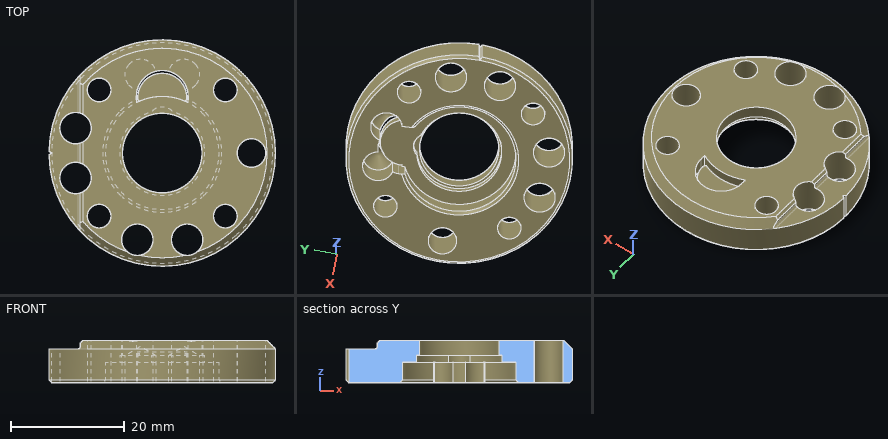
import cadquery as cq
import math

DISC_RADIUS = 20.0
HEIGHT = 7.5
TOP_CHAMFER = 1.5
BOTTOM_CHAMFER = 0.5

BORE_DIAMETER = 14.0
STEP_DIAMETER = 15.0
RECESS_DIAMETER = 20.0
BORE_LENGTH = 2.65
WEB_THICKNESS = 3.9
RECESS_CHAMFER = 0.5

PITCH_RADIUS = 15.75
SCREW_HOLE_DIAMETER = 4.13
SIDE_HOLE_DIAMETER = 5.0
PAIR_HOLE_DIAMETER = 5.5
PAIR_HALF_SPACING = 4.4
PAIR_OFFSET = 15.3

STEP_X = -14.5
STEP_FLOOR_Z = HEIGHT - TOP_CHAMFER
STEP_TOP_BEVEL = 0.5
STEP_FOOT_RADIUS = 0.35

NOTCH_WIDTH = 0.6
NOTCH_DEPTH = 0.5

WINDOW_RADIUS = 4.55
WINDOW_CENTER_Y = 10.0
TONGUE_RADIUS = 4.35
TONGUE_CENTER_Y = 9.75
TONGUE_INNER_Y = 9.1
TONGUE_CORNER_RADIUS = 0.65
TONGUE_TOP_Z = HEIGHT - 2.1

SHOULDER_DROP = 0.5
SHOULDER_END_Y = 9.45

RELIEF_DIAMETER = 5.0
RELIEF_CENTER_Y = 5.65

DRILLING_DIAMETER = 5.5
DRILLING_DISTANCE = 5.4
DRILLING_TIP_Z = HEIGHT - 1.05
DRILL_POINT_ANGLE = 118.0


def cylinder(diameter, bottom, top, x=0.0, y=0.0):
    """Upright cylinder between two heights."""
    return cq.Workplane("XY", origin=(x, y, bottom)).circle(diameter / 2).extrude(top - bottom)


def make_disc():
    disc = cylinder(2 * DISC_RADIUS, 0, HEIGHT)
    disc = disc.faces(">Z").chamfer(TOP_CHAMFER)
    return disc.faces("<Z").chamfer(BOTTOM_CHAMFER)


def make_bore():
    """Bore, step and bottom recess as one turned profile."""
    bore_radius = BORE_DIAMETER / 2
    step_radius = STEP_DIAMETER / 2
    recess_radius = RECESS_DIAMETER / 2
    web_z = HEIGHT - WEB_THICKNESS
    step_z = HEIGHT - BORE_LENGTH
    profile = [
        (0, 0),
        (recess_radius + RECESS_CHAMFER, 0),
        (recess_radius, RECESS_CHAMFER),
        (recess_radius, web_z),
        (step_radius, web_z),
        (step_radius, step_z),
        (bore_radius, step_z),
        (bore_radius, HEIGHT),
        (0, HEIGHT),
    ]
    return cq.Workplane("XZ").polyline(profile).close().revolve(360, (0, 0, 0), (0, 1, 0))


def make_holes():
    diagonal = PITCH_RADIUS * math.sqrt(0.5)
    places = [(SIDE_HOLE_DIAMETER, PITCH_RADIUS, 0)]
    for sx, sy in [(1, 1), (-1, 1), (-1, -1), (1, -1)]:
        places.append((SCREW_HOLE_DIAMETER, sx * diagonal, sy * diagonal))
    for side in (1, -1):
        places.append((PAIR_HOLE_DIAMETER, -PAIR_OFFSET, side * PAIR_HALF_SPACING))
        places.append((PAIR_HOLE_DIAMETER, side * PAIR_HALF_SPACING, -PAIR_OFFSET))
    holes = cq.Workplane("XY")
    for diameter, x, y in places:
        holes = holes.add(cylinder(diameter, 0, HEIGHT, x, y))
    return holes.combine()


def make_side_step():
    """Material removed beside the step, with a bevelled top edge and a rounded foot."""
    arc_center_x = STEP_X - STEP_FOOT_RADIUS
    arc_center_z = STEP_FLOOR_Z + STEP_FOOT_RADIUS
    arc_reach = STEP_FOOT_RADIUS * math.sqrt(0.5)
    profile = (
        cq.Workplane("XZ")
        .moveTo(-DISC_RADIUS, STEP_FLOOR_Z)
        .lineTo(arc_center_x, STEP_FLOOR_Z)
        .threePointArc((arc_center_x + arc_reach, arc_center_z - arc_reach), (STEP_X, arc_center_z))
        .lineTo(STEP_X, HEIGHT - STEP_TOP_BEVEL)
        .lineTo(STEP_X + STEP_TOP_BEVEL, HEIGHT)
        .lineTo(-DISC_RADIUS, HEIGHT)
        .close()
    )
    return profile.extrude(DISC_RADIUS, both=True)


def make_notch():
    tip = (-DISC_RADIUS + NOTCH_DEPTH, 0)
    mouth_x = -DISC_RADIUS - NOTCH_DEPTH
    corners = [tip, (mouth_x, NOTCH_WIDTH), (mouth_x, -NOTCH_WIDTH)]
    return cq.Workplane("XY").polyline(corners).close().extrude(HEIGHT)


def make_window():
    """Round-ended window; above the recess it stops at the recess radius."""
    straight = cq.Workplane("XY").rect(2 * WINDOW_RADIUS, WINDOW_CENTER_Y).extrude(HEIGHT)
    straight = straight.translate((0, WINDOW_CENTER_Y / 2, 0))
    window = straight.union(cylinder(2 * WINDOW_RADIUS, 0, HEIGHT, y=WINDOW_CENTER_Y))
    return window.cut(cylinder(RECESS_DIAMETER, 0, HEIGHT))


def make_tongue():
    bottom = HEIGHT - WEB_THICKNESS
    tongue = cylinder(2 * TONGUE_RADIUS, bottom, TONGUE_TOP_Z, y=TONGUE_CENTER_Y)
    kept = cq.Workplane("XY").rect(2 * DISC_RADIUS, DISC_RADIUS).extrude(HEIGHT)
    tongue = tongue.intersect(kept.translate((0, TONGUE_INNER_Y + DISC_RADIUS / 2, 0)))
    return tongue.edges("|Z").edges("<Y").fillet(TONGUE_CORNER_RADIUS)


def make_shoulder():
    bottom = HEIGHT - WEB_THICKNESS
    top = TONGUE_TOP_Z - SHOULDER_DROP
    length = SHOULDER_END_Y - TONGUE_INNER_Y + TONGUE_CORNER_RADIUS
    shoulder = cq.Workplane("XY", origin=(0, SHOULDER_END_Y - length / 2, bottom))
    return shoulder.rect(2 * WINDOW_RADIUS, length).extrude(top - bottom)


def make_relief():
    return cylinder(RELIEF_DIAMETER, 0, HEIGHT - BORE_LENGTH, y=RELIEF_CENTER_Y)


def make_drillings():
    """Mirrored pair with drill-point ends, on the diagonals of the window's round end."""
    radius = DRILLING_DIAMETER / 2
    point_height = radius / math.tan(math.radians(DRILL_POINT_ANGLE / 2))
    profile = [(0, 0), (radius, 0), (radius, DRILLING_TIP_Z - point_height), (0, DRILLING_TIP_Z)]
    drilling = cq.Workplane("XZ").polyline(profile).close().revolve(360, (0, 0, 0), (0, 1, 0))
    offset = DRILLING_DISTANCE * math.sqrt(0.5)
    center_y = WINDOW_CENTER_Y + offset
    return drilling.translate((offset, center_y, 0)).add(drilling.translate((-offset, center_y, 0))).combine()


result = make_disc()
for cutter in (make_bore(), make_holes(), make_side_step(), make_notch(), make_window(), make_drillings()):
    result = result.cut(cutter)
result = result.union(make_tongue()).union(make_shoulder()).cut(make_relief())